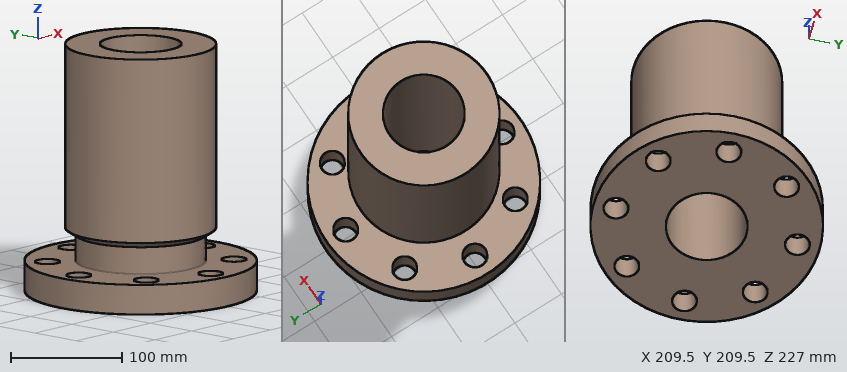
import cadquery as cq

total_height = 227.0
flange_diameter = 209.5
flange_thickness = 27.5
neck_diameter = 117.5
neck_fillet_radius = 0.5
body_diameter = 136.2
body_bottom = 58.1
shoulder_height = 6.0
bore_diameter = 73.5
bolt_circle_diameter = 168.2
bolt_hole_diameter = 22.2
bolt_hole_count = 8

fillet_top = flange_thickness + neck_fillet_radius
shoulder_bottom = body_bottom - shoulder_height


def turned_body():
    """Flange, neck with a fillet at its foot, conical shoulder and thick tube, bored through."""
    bore_radius = bore_diameter / 2
    flange_radius = flange_diameter / 2
    neck_radius = neck_diameter / 2
    body_radius = body_diameter / 2
    half_section = (
        cq.Workplane("XZ")
        .moveTo(bore_radius, 0)
        .lineTo(flange_radius, 0)
        .lineTo(flange_radius, flange_thickness)
        .lineTo(neck_radius + neck_fillet_radius, flange_thickness)
        .radiusArc((neck_radius, fillet_top), neck_fillet_radius)
        .lineTo(neck_radius, shoulder_bottom)
        .lineTo(body_radius, body_bottom)
        .lineTo(body_radius, total_height)
        .lineTo(bore_radius, total_height)
        .close()
    )
    return half_section.revolve(360, (0, 0, 0), (0, 1, 0))


def bolt_holes():
    """Ring of cylinders through the flange, the first one on the X axis."""
    return (
        cq.Workplane("XY")
        .polarArray(bolt_circle_diameter / 2, 0, 360, bolt_hole_count)
        .circle(bolt_hole_diameter / 2)
        .extrude(flange_thickness)
    )


result = turned_body().cut(bolt_holes())